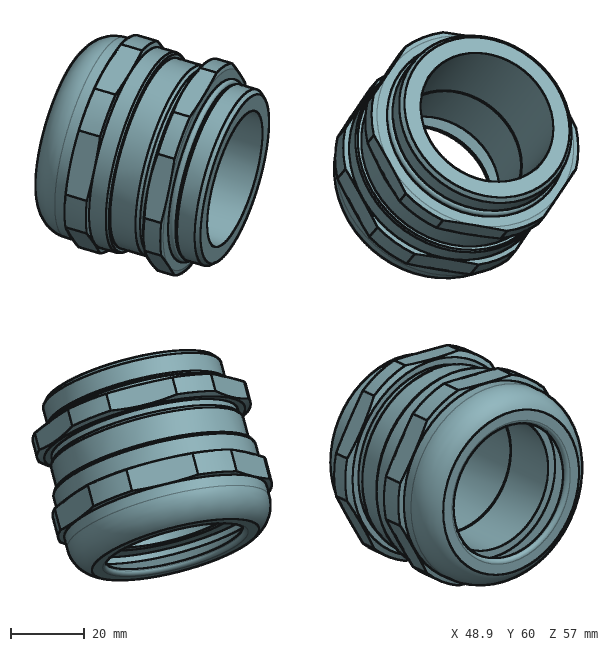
import cadquery as cq
import math


across_flats = 57.0
across_rounded_corners = 59.95
corner_radius = across_rounded_corners / 2

dome_end = 7.85
cap_hex_start = 10.95
cap_hex_end = 18.0
cap_end = 23.6
shoulder_end = 32.05
body_hex_start = 33.8
body_hex_end = 39.85
groove_end = 41.85
thread_start = 42.5
overall_length = 48.9

cap_diameter = 56.8
dome_face_diameter = 46.85
mouth_diameter = 38.4
mouth_round = 1.2
mouth_land = 0.5
cavity_diameter = 53.2
cavity_start = 6.0
cap_end_chamfer_length = 0.7
cap_end_chamfer_depth = 0.4
cap_hex_front_chamfer = 0.4
cap_hex_back_chamfer = 0.3

sleeve_start = 7.9
body_bore_diameter = 38.5
shoulder_diameter = 54.0
shoulder_chamfer_length = 1.0
neck_diameter = 52.3
groove_diameter = 47.8
thread_run_in_diameter = 49.1
thread_diameter = 50.0
thread_end_diameter = 47.8
thread_chamfer_length = 1.25
body_hex_front_chamfer = 0.9
body_hex_front_diameter = 56.35
body_hex_back_chamfer = 0.25

seal_end = 24.5
seal_outer_diameter = 42.8
seal_bore_diameter = 38.0

axis_start = (0, 0, 0)
axis_end = (1, 0, 0)


def turned(profile):
    """Revolve a closed (x, radius) profile around the X axis."""
    return profile.close().revolve(360, axis_start, axis_end)


def turned_polygon(points):
    return turned(cq.Workplane("XY").polyline(points))


def tube(start, end, outer_diameter, inner_diameter):
    return (
        cq.Workplane("YZ", origin=(start, 0, 0))
        .circle(outer_diameter / 2)
        .circle(inner_diameter / 2)
        .extrude(end - start)
    )


def wrench_hex(start, end, front_diameter, front_chamfer, back_diameter, back_chamfer):
    """Hexagon with flats at +Z and -Z, rounded corners and conical chamfers on both faces."""
    sides = 6
    corner_to_corner = across_flats / math.cos(math.pi / sides)
    hexagon = cq.Workplane("YZ", origin=(start, 0, 0)).polygon(sides, corner_to_corner).extrude(end - start)
    envelope = turned_polygon([
        (start, 0),
        (start, front_diameter / 2),
        (start + front_chamfer, corner_radius),
        (end - back_chamfer, corner_radius),
        (end, back_diameter / 2),
        (end, 0),
    ])
    return hexagon.intersect(envelope)


def make_cap():
    cap_radius = cap_diameter / 2
    dome_drop = (cap_diameter - dome_face_diameter) / 2
    dome_radius = (dome_drop**2 + dome_end**2) / (2 * dome_drop)
    dome_angle = math.asin(dome_end / dome_radius)
    dome_mid = (
        dome_end - dome_radius * math.sin(dome_angle / 2),
        cap_radius - dome_radius * (1 - math.cos(dome_angle / 2)),
    )
    outside = turned(
        cq.Workplane("XY")
        .moveTo(0, 0)
        .lineTo(0, dome_face_diameter / 2)
        .threePointArc(dome_mid, (dome_end, cap_radius))
        .lineTo(cap_end - cap_end_chamfer_length, cap_radius)
        .lineTo(cap_end, cap_radius - cap_end_chamfer_depth)
        .lineTo(cap_end, 0)
    )
    hexagon = wrench_hex(
        cap_hex_start,
        cap_hex_end,
        cap_diameter,
        cap_hex_front_chamfer,
        cap_diameter,
        cap_hex_back_chamfer,
    )

    mouth_radius = mouth_diameter / 2
    inside = turned(
        cq.Workplane("XY")
        .moveTo(0, 0)
        .lineTo(0, mouth_radius + mouth_round)
        .radiusArc((mouth_round, mouth_radius), -mouth_round)
        .lineTo(mouth_round + mouth_land, mouth_radius)
        .lineTo(cavity_start, cavity_diameter / 2)
        .lineTo(cap_end, cavity_diameter / 2)
        .lineTo(cap_end, 0)
    )
    return outside.union(hexagon).cut(inside).solids()


def make_body():
    outside = turned_polygon([
        (sleeve_start, 0),
        (sleeve_start, cavity_diameter / 2),
        (cap_end, cavity_diameter / 2),
        (cap_end, shoulder_diameter / 2),
        (shoulder_end - shoulder_chamfer_length, shoulder_diameter / 2),
        (shoulder_end, neck_diameter / 2),
        (body_hex_end, neck_diameter / 2),
        (body_hex_end, groove_diameter / 2),
        (groove_end, groove_diameter / 2),
        (groove_end, thread_run_in_diameter / 2),
        (thread_start, thread_diameter / 2),
        (overall_length - thread_chamfer_length, thread_diameter / 2),
        (overall_length, thread_end_diameter / 2),
        (overall_length, 0),
    ])
    hexagon = wrench_hex(
        body_hex_start,
        body_hex_end,
        body_hex_front_diameter,
        body_hex_front_chamfer,
        across_flats,
        body_hex_back_chamfer,
    )
    bore = turned_polygon([
        (sleeve_start, 0),
        (sleeve_start, seal_outer_diameter / 2),
        (seal_end, seal_outer_diameter / 2),
        (seal_end, body_bore_diameter / 2),
        (overall_length, body_bore_diameter / 2),
        (overall_length, 0),
    ])
    return outside.union(hexagon).cut(bore).solids()


def make_seal():
    return tube(sleeve_start, seal_end, seal_outer_diameter, seal_bore_diameter)


def make_o_ring():
    section_radius = (groove_end - body_hex_end) / 2
    ring_radius = groove_diameter / 2 + section_radius
    section = cq.Workplane("XY").center(body_hex_end + section_radius, ring_radius).circle(section_radius)
    return section.revolve(360, (0, -ring_radius, 0), (1, -ring_radius, 0))


cap = make_cap()
body = make_body()
seal = make_seal()
o_ring = make_o_ring()

result = cq.Compound.makeCompound([cap.val(), body.val(), seal.val(), o_ring.val()])